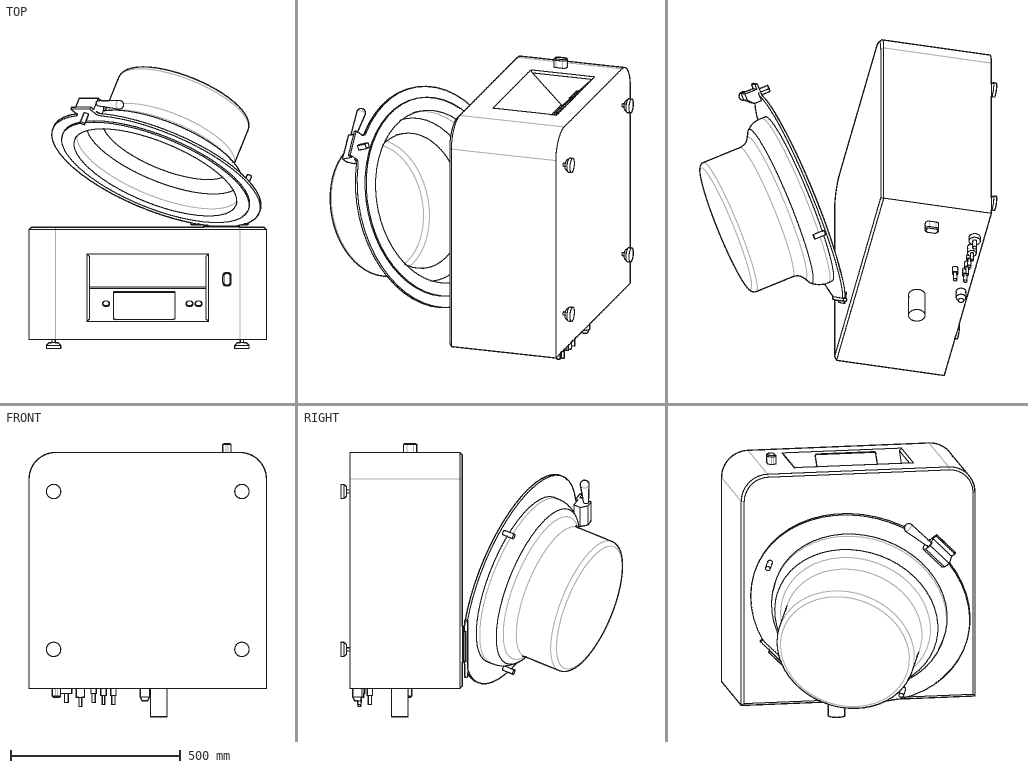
import cadquery as cq
import math


BOX_WIDTH = 701.0
BOX_DEPTH = 332.0
BOX_HEIGHT = 697.0
CORNER_RADIUS = 79.0
FACE_CHAMFER = 7.5
BOX_TOP = BOX_HEIGHT / 2
BOX_BOTTOM = -BOX_HEIGHT / 2

TROUGH_LENGTH = 344.0
TROUGH_FRONT_Y = -80.0
TROUGH_DEPTH = 96.5
TROUGH_FLOOR = 5.0
TROUGH_BACK_Y = TROUGH_FRONT_Y - 2 * TROUGH_DEPTH - TROUGH_FLOOR
RIM_CHAMFER = 7.0

SCREEN_WIDTH = 181.0
SCREEN_HEIGHT = 116.5
SCREEN_RECESS = 4.0
SCREEN_CORNER = 5.0
SCREEN_X = -10.0
SCREEN_SHIFT = -2.0
KEY_DIAMETER = 20.0
KEY_HEIGHT = 4.0
KEY_SHIFT = 2.5
KEY_XS = (-123.0, 123.0, 150.0)

BUTTON_WIDTH = 25.0
BUTTON_LENGTH = 40.0
BUTTON_HEIGHT = 26.0
BUTTON_CORNER = 10.0
BUTTON_EDGE = 3.0
TOP_BUTTON_X = 234.0
TOP_BUTTON_Y = -154.0
BOTTOM_BUTTON_X = -269.5
BOTTOM_BUTTON_Y = -169.0

FOOT_SPACING_X = 556.0
FOOT_SPACING_Z = 466.0
FOOT_STEM_DIAMETER = 10.0
FOOT_STEM_LENGTH = 9.0
FOOT_DIAMETER = 42.5
FOOT_NECK_DIAMETER = 28.0
FOOT_CONE_LENGTH = 8.0
FOOT_RIM_LENGTH = 9.0

CONNECTORS = (
    (-240.0, -304.0, 33.0, 15.0, 12.0, 42.0),
    (-199.0, -304.0, 26.0, 26.0, 8.0, 53.0),
    (-160.0, -304.0, 17.0, 15.0, 10.0, 42.0),
    (-131.0, -304.0, 17.0, 21.0, 8.0, 47.5),
    (-101.5, -304.0, 17.0, 21.0, 10.0, 47.5),
    (-101.5, -273.0, 17.0, 21.0, 10.0, 47.5),
)
PLUG_X = -8.0
PLUG_Y = -309.5
PLUG_DIAMETER = 28.0
PLUG_BODY_LENGTH = 25.0
PLUG_TIP_DIAMETER = 17.0
PLUG_LENGTH = 37.0
PIPE_X = 32.5
PIPE_Y = -185.0
PIPE_DIAMETER = 49.0
PIPE_LENGTH = 83.0

OPEN_ANGLE = math.radians(30)
LID_SHIFT = 22.5
LID_Y = 161.0

FLANGE_RADIUS = 329.5
FLANGE_FRONT = 5.0
FLANGE_BACK = 12.5
HINGE_FLAT = 324.5
SEAL_RADIUS = 296.0

MOUTH_RADIUS = 257.0
MOUTH_STRAIGHT = 24.0
SHOULDER_RADIUS = 243.0
MOUTH_BULGE = 4.0
SHOULDER_DEPTH = 66.5
NECK_DEPTH = 91.5
BOWL_RADIUS = 206.0
BOWL_DEPTH = 246.0
BOWL_EDGE = 12.5
WALL = 5.0
NECK_FILLET_END = 116.5

LUG_TIP = 364.0
LUG_WIDTH = 80.0
LUG_ROOT = 304.0
LUG_FILLET = 12.5
LATCH_TOP = 350.0
LATCH_BOTTOM = 314.0
LATCH_BACK = 51.0
LATCH_CHAMFER = 17.0
BOLT_SIZE = 14.0
BOLT_TURN = 45
BOLT_POSITION = 336.0
BOLT_REACH = 27.0
HANDLE_POSITION = 343.0
HANDLE_DEPTH = 37.5
HANDLE_LENGTH = 80.0
HANDLE_TILT = 6
HANDLE_ROOT_RADIUS = 7.5
HANDLE_END_RADIUS = 13.0
HANDLE_SEAT = 2.5

STUD_DIAMETER = 14.0
STUD_ALONG = -100.0
STUD_ACROSS = 283.0
STUD_END = 47.0

HINGE_PIN_RADIUS = 5.0
HINGE_PIN_ENDS = (-129.0, 102.0)
HINGE_PIN_POSITION = 319.0
HINGE_PIN_DEPTH = 11.0
HINGE_PLATE_LENGTH = 116.5
HINGE_PLATE_WIDTH = 33.0
HINGE_PLATE_THICKNESS = 3.0


def cylinder_down(x, y, diameter, length):
    """Cylinder hanging from the bottom face of the box."""
    return (
        cq.Workplane("XY", origin=(x, y, BOX_BOTTOM))
        .circle(diameter / 2)
        .extrude(-length)
    )


def make_box():
    """Box with rounded top corners and a chamfer around its +Y face."""
    box = cq.Workplane("XY").box(BOX_WIDTH, BOX_DEPTH, BOX_HEIGHT)
    box = box.translate((0, -BOX_DEPTH / 2, 0))
    box = box.edges("|Y and >Z").fillet(CORNER_RADIUS)
    return box.faces(">Y").chamfer(FACE_CHAMFER)


def make_trough():
    """Material removed for the display recess, with its bevelled rim."""
    trough = (
        cq.Workplane("YZ", origin=(-TROUGH_LENGTH / 2, 0, 0))
        .moveTo(TROUGH_FRONT_Y, BOX_TOP)
        .line(-TROUGH_DEPTH, -TROUGH_DEPTH)
        .line(-TROUGH_FLOOR, 0)
        .lineTo(TROUGH_BACK_Y, BOX_TOP)
        .close()
        .extrude(TROUGH_LENGTH)
    )
    rim_centre = (0, (TROUGH_FRONT_Y + TROUGH_BACK_Y) / 2, BOX_TOP)
    rim = (
        cq.Workplane("XY", origin=rim_centre)
        .rect(TROUGH_LENGTH + 2 * RIM_CHAMFER, TROUGH_FRONT_Y - TROUGH_BACK_Y)
        .extrude(-RIM_CHAMFER, taper=45)
    )
    return trough.union(rim)


def slope_plane():
    """Plane on the middle of the trough's back slope; local y runs up the slope."""
    middle = (0, TROUGH_BACK_Y + TROUGH_DEPTH / 2, BOX_TOP - TROUGH_DEPTH / 2)
    return cq.Plane(origin=middle, xDir=(1, 0, 0), normal=(0, 1, 1))


def make_button(x, y, z, direction):
    """Rounded button standing on the top (+1) or bottom (-1) face."""
    button = (
        cq.Workplane("XY", origin=(x, y, z))
        .rect(BUTTON_WIDTH, BUTTON_LENGTH)
        .extrude(direction * BUTTON_HEIGHT)
        .edges("|Z")
        .fillet(BUTTON_CORNER)
    )
    return button.faces(">Z" if direction > 0 else "<Z").chamfer(BUTTON_EDGE)


def make_foot(x, z):
    """Levelling foot: stem, cone and rim, turned about an axis along -Y."""
    cone_start = FOOT_STEM_LENGTH
    cone_end = cone_start + FOOT_CONE_LENGTH
    end = cone_end + FOOT_RIM_LENGTH
    return (
        cq.Workplane("XY")
        .polyline([
            (0, 0),
            (FOOT_STEM_DIAMETER / 2, 0),
            (FOOT_STEM_DIAMETER / 2, -cone_start),
            (FOOT_NECK_DIAMETER / 2, -cone_start),
            (FOOT_DIAMETER / 2, -cone_end),
            (FOOT_DIAMETER / 2, -end),
            (0, -end),
        ])
        .close()
        .revolve(360, (0, 0, 0), (0, 1, 0))
        .translate((x, -BOX_DEPTH, z))
    )


def make_plug():
    """Short plug with a conical tip on the bottom face."""
    body = cylinder_down(PLUG_X, PLUG_Y, PLUG_DIAMETER, PLUG_BODY_LENGTH)
    tip = (
        body.faces("<Z")
        .workplane()
        .circle(PLUG_DIAMETER / 2)
        .workplane(offset=PLUG_LENGTH - PLUG_BODY_LENGTH)
        .circle(PLUG_TIP_DIAMETER / 2)
        .loft(combine=False)
    )
    return body.union(tip)


def make_hinge_plate():
    """Thin plate on the +Y face under the lid's hinge pin."""
    along = LID_SHIFT + HINGE_PIN_POSITION * math.cos(OPEN_ANGLE) / math.sqrt(2)
    plane = cq.Plane(origin=(along, 0, -along), xDir=(1, 0, 1), normal=(0, 1, 0))
    return (
        cq.Workplane(plane)
        .rect(HINGE_PLATE_LENGTH, HINGE_PLATE_WIDTH)
        .extrude(HINGE_PLATE_THICKNESS)
    )


def make_housing():
    housing = make_box().cut(make_trough())
    screen = (
        cq.Workplane(slope_plane())
        .center(SCREEN_X, SCREEN_SHIFT)
        .sketch()
        .rect(SCREEN_WIDTH, SCREEN_HEIGHT)
        .vertices()
        .fillet(SCREEN_CORNER)
        .finalize()
        .extrude(-SCREEN_RECESS)
    )
    keys = (
        cq.Workplane(slope_plane())
        .pushPoints([(x, KEY_SHIFT) for x in KEY_XS])
        .circle(KEY_DIAMETER / 2)
        .extrude(KEY_HEIGHT)
    )
    housing = housing.cut(screen).union(keys)
    housing = housing.union(make_button(TOP_BUTTON_X, TOP_BUTTON_Y, BOX_TOP, 1))
    housing = housing.union(make_button(BOTTOM_BUTTON_X, BOTTOM_BUTTON_Y, BOX_BOTTOM, -1))
    for x in (-FOOT_SPACING_X / 2, FOOT_SPACING_X / 2):
        for z in (-FOOT_SPACING_Z / 2, FOOT_SPACING_Z / 2):
            housing = housing.union(make_foot(x, z))
    for x, y, collar_diameter, collar_length, pin_diameter, length in CONNECTORS:
        housing = housing.union(cylinder_down(x, y, collar_diameter, collar_length))
        housing = housing.union(cylinder_down(x, y, pin_diameter, length))
    housing = housing.union(make_plug())
    housing = housing.union(cylinder_down(PIPE_X, PIPE_Y, PIPE_DIAMETER, PIPE_LENGTH))
    return housing.union(make_hinge_plate())




def make_bowl():
    """Flange, raised seal ring, stepped mouth and bowl, turned about the lid axis."""
    outer_mouth = MOUTH_RADIUS + WALL
    inner_radius = BOWL_RADIUS - WALL
    cone_angle = math.atan2(NECK_DEPTH - SHOULDER_DEPTH, SHOULDER_RADIUS - inner_radius)
    outer_shoulder = SHOULDER_RADIUS + WALL * math.sin(cone_angle)
    shoulder_back = SHOULDER_DEPTH + WALL * math.cos(cone_angle)
    neck_corner = shoulder_back + (outer_shoulder - BOWL_RADIUS) * math.tan(cone_angle)
    fillet_reach = NECK_FILLET_END - neck_corner
    fillet_start = (
        BOWL_RADIUS + fillet_reach * math.cos(cone_angle),
        neck_corner - fillet_reach * math.sin(cone_angle),
    )
    middle_r = (MOUTH_RADIUS + SHOULDER_RADIUS) / 2 + MOUTH_BULGE
    middle_z = (MOUTH_STRAIGHT + SHOULDER_DEPTH) / 2
    return (
        cq.Workplane("XZ")
        .moveTo(MOUTH_RADIUS, 0)
        .lineTo(SEAL_RADIUS, 0)
        .lineTo(SEAL_RADIUS, FLANGE_FRONT)
        .lineTo(FLANGE_RADIUS, FLANGE_FRONT)
        .lineTo(FLANGE_RADIUS, FLANGE_BACK)
        .lineTo(outer_mouth, FLANGE_BACK)
        .lineTo(outer_mouth, MOUTH_STRAIGHT)
        .threePointArc((middle_r + WALL, middle_z + WALL / 2), (outer_shoulder, shoulder_back))
        .lineTo(*fillet_start)
        .tangentArcPoint((BOWL_RADIUS, NECK_FILLET_END), relative=False)
        .lineTo(BOWL_RADIUS, BOWL_DEPTH - BOWL_EDGE)
        .radiusArc((BOWL_RADIUS - BOWL_EDGE, BOWL_DEPTH), -BOWL_EDGE)
        .lineTo(0, BOWL_DEPTH)
        .lineTo(0, BOWL_DEPTH - WALL)
        .lineTo(inner_radius - BOWL_EDGE, BOWL_DEPTH - WALL)
        .radiusArc((inner_radius, BOWL_DEPTH - WALL - BOWL_EDGE), BOWL_EDGE)
        .lineTo(inner_radius, NECK_DEPTH)
        .lineTo(SHOULDER_RADIUS, SHOULDER_DEPTH)
        .threePointArc((middle_r, middle_z), (MOUTH_RADIUS, MOUTH_STRAIGHT))
        .close()
        .revolve(360, (0, 0, 0), (0, 1, 0))
    )


def make_lug():
    """Latch tab on the flange rim."""
    return (
        cq.Workplane("XY", origin=(0, 0, FLANGE_FRONT))
        .center((LUG_ROOT + LUG_TIP) / 2, 0)
        .rect(LUG_TIP - LUG_ROOT, LUG_WIDTH)
        .extrude(FLANGE_BACK - FLANGE_FRONT)
    )


def make_latch():
    """Latch block behind the lug, with its bolt in front and its handle at the side."""
    block = (
        cq.Workplane("XZ", origin=(0, LUG_WIDTH / 2, 0))
        .moveTo(LATCH_BOTTOM, FLANGE_FRONT)
        .lineTo(LATCH_TOP, FLANGE_FRONT)
        .lineTo(LATCH_TOP, LATCH_BACK)
        .lineTo(LATCH_BOTTOM + LATCH_CHAMFER, LATCH_BACK)
        .lineTo(LATCH_BOTTOM, LATCH_BACK - LATCH_CHAMFER)
        .close()
        .extrude(LUG_WIDTH)
    )
    bolt = (
        cq.Workplane("XY", origin=(BOLT_POSITION, 0, FLANGE_FRONT))
        .transformed(rotate=(0, 0, BOLT_TURN))
        .rect(BOLT_SIZE, BOLT_SIZE)
        .extrude(-BOLT_REACH - FLANGE_FRONT)
    )
    handle = (
        cq.Workplane("XY")
        .moveTo(0, -HANDLE_SEAT)
        .lineTo(HANDLE_ROOT_RADIUS, -HANDLE_SEAT)
        .lineTo(HANDLE_END_RADIUS, HANDLE_LENGTH)
        .radiusArc((0, HANDLE_LENGTH + HANDLE_END_RADIUS), -HANDLE_END_RADIUS)
        .close()
        .revolve(360, (0, 0, 0), (0, 1, 0))
        .rotate((0, 0, 0), (0, 0, 1), HANDLE_TILT)
        .translate((HANDLE_POSITION, LUG_WIDTH / 2, HANDLE_DEPTH))
    )
    return block.union(bolt).union(handle)


def make_studs():
    return (
        cq.Workplane("XY", origin=(0, 0, FLANGE_FRONT))
        .pushPoints([(STUD_ALONG, -STUD_ACROSS), (STUD_ALONG, STUD_ACROSS)])
        .circle(STUD_DIAMETER / 2)
        .extrude(STUD_END - FLANGE_FRONT)
    )


def make_hinge_pin():
    return (
        cq.Workplane("XZ", origin=(-HINGE_PIN_POSITION, HINGE_PIN_ENDS[1], HINGE_PIN_DEPTH))
        .circle(HINGE_PIN_RADIUS)
        .extrude(HINGE_PIN_ENDS[1] - HINGE_PIN_ENDS[0])
    )


def make_lid():
    beyond_flat = (
        cq.Workplane("XY")
        .box(FLANGE_RADIUS, 2 * FLANGE_RADIUS, 2 * FLANGE_BACK)
        .translate((-HINGE_FLAT - FLANGE_RADIUS / 2, 0, 0))
    )
    lid = make_bowl().cut(beyond_flat).union(make_lug())
    root = math.sqrt(FLANGE_RADIUS**2 - (LUG_WIDTH / 2) ** 2)
    for side in (-LUG_WIDTH / 2, LUG_WIDTH / 2):
        corner = (root, side, (FLANGE_FRONT + FLANGE_BACK) / 2)
        lid = lid.edges(cq.NearestToPointSelector(corner)).fillet(LUG_FILLET)
    lid = lid.union(make_latch()).union(make_studs()).union(make_hinge_pin())
    return lid.solids().val()


def open_lid(lid):
    """Place the lid, swung open about its diagonal hinge."""
    swing = math.cos(OPEN_ANGLE) / math.sqrt(2)
    lean = math.sin(OPEN_ANGLE) / math.sqrt(2)
    plane = cq.Plane(
        origin=(LID_SHIFT, LID_Y, -LID_SHIFT),
        xDir=(-swing, math.sin(OPEN_ANGLE), swing),
        normal=(lean, math.cos(OPEN_ANGLE), -lean),
    )
    return lid.moved(cq.Location(plane))


housing = make_housing()
lid = open_lid(make_lid())
result = cq.Compound.makeCompound([housing.solids().val(), lid])